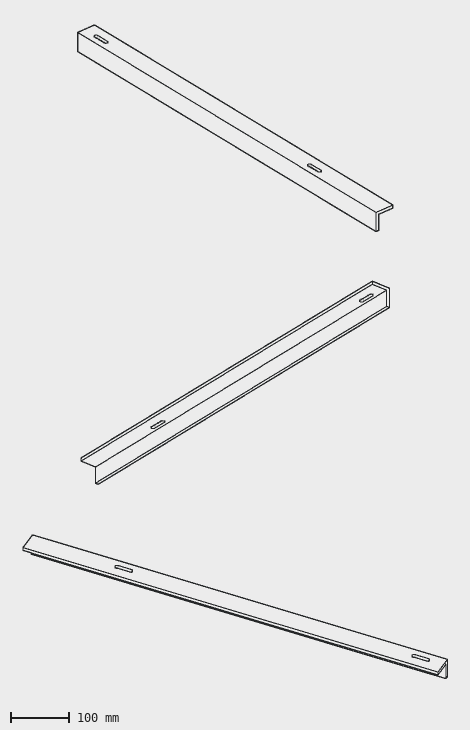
import cadquery as cq

bar_length = 781.05
leg_width = 38.1
leg_thickness = 6.35

slot_width = 7.14375
slot_end_spacing = 25.4
slot_length = slot_end_spacing + slot_width
first_slot_from_end = 42.8625
slot_spacing = 558.8
slot_from_heel = 15.875


def angle_bar():
    """L-section with its heel along the X axis, legs pointing +Y and -Z."""
    profile = [
        (0, 0),
        (leg_width, 0),
        (leg_width, -leg_thickness),
        (leg_thickness, -leg_thickness),
        (leg_thickness, -leg_width),
        (0, -leg_width),
    ]
    return cq.Workplane("YZ").polyline(profile).close().extrude(bar_length)


def slot_cutters():
    """Round-ended slots reaching through the horizontal leg."""
    centres = [
        (first_slot_from_end, slot_from_heel),
        (first_slot_from_end + slot_spacing, slot_from_heel),
    ]
    return (
        cq.Workplane("XY")
        .pushPoints(centres)
        .slot2D(slot_length, slot_width)
        .extrude(-leg_thickness)
    )


result = angle_bar().cut(slot_cutters())